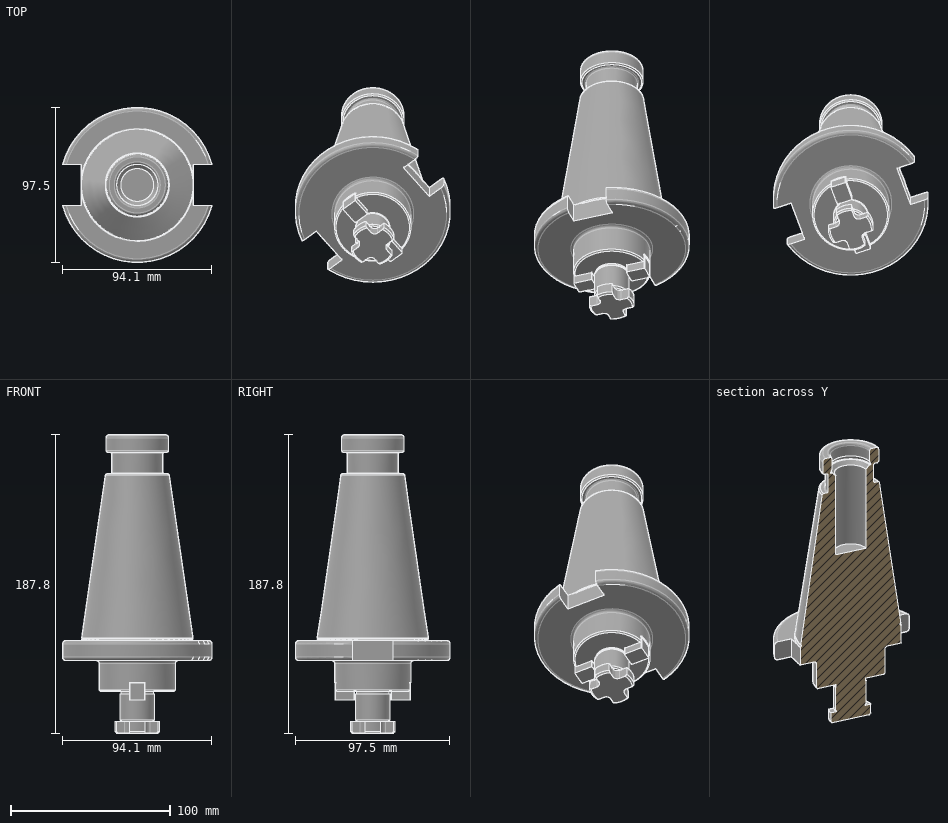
import cadquery as cq
import math

total_height = 187.8
head_top = 7.5
hub_bottom = 26.3
flange_bottom = 45.6
flange_top = 58.4
taper_bottom = 60.0
taper_top = 163.4
knob_bottom = 176.5

pilot_radius = 10.9
hub_radius = 24.0
flange_radius = 97.5 / 2
taper_large_radius = 35.1
neck_radius = 16.2
knob_radius = 19.7

taper_slope = 3.5 / 24

small_chamfer = 1.0
flange_fillet = 1.2
hub_fillet = 0.9
knob_fillet = 1.1
neck_fillet = 0.4
neck_root_fillet = 0.3
pilot_relief_depth = 0.5
pilot_relief_height = 1.5
taper_undercut = 0.5
taper_root_fillet = 0.5

bore_radius = 13.0
bore_rim_fillet = 0.8
bore_relief_depth = 1.0
bore_relief_top = 8.8
bore_relief_bottom = 11.3
drill_radius = 10.3
drill_top_depth = 13.9
drill_depth = 69.5

drive_slot_width = 25.7
drive_slot_floor = 35.3

key_width = 10.0
key_bottom = 20.8
key_top = 32.0
key_inner = 11.5
key_outer = 23.7
key_chamfer = 0.4
key_slot_outer = hub_radius + 1.9

head_radius = 14.0
lobe_width = 10.0
lobe_corner_radius = 3.0
head_chamfer = 1.1


UP = (0, 1.9)
DOWN = (0, -1.9)
OUT = (1.9, 0)
IN = (-1.9, 0)


def round_corner(path, corner, radius, arrive, leave):
    """Run the path to a square corner and turn it there on a quarter-round."""
    middle_offset = radius * (1 - math.sqrt(0.5))
    start = [c - radius * a for c, a in zip(corner, arrive)]
    middle = [c + middle_offset * (b - a) for c, a, b in zip(corner, arrive, leave)]
    end = [c + radius * b for c, b in zip(corner, leave)]
    return path.lineTo(*start).threePointArc(tuple(middle), tuple(end))


def turned_body():
    """Pilot, hub, flange, taper, neck, knob and bore, revolved about Z."""
    relief_radius = pilot_radius - pilot_relief_depth
    relief_bottom = hub_bottom - pilot_relief_height
    path = (
        cq.Workplane("XZ")
        .moveTo(0, head_top)
        .lineTo(pilot_radius - small_chamfer, head_top)
        .lineTo(pilot_radius, head_top + small_chamfer)
        .lineTo(pilot_radius, relief_bottom)
        .lineTo(relief_radius, relief_bottom)
        .lineTo(relief_radius, hub_bottom)
    )

    path = path.lineTo(hub_radius - small_chamfer, hub_bottom)
    path = path.lineTo(hub_radius, hub_bottom + small_chamfer)
    path = round_corner(path, (hub_radius, flange_bottom), hub_fillet, UP, OUT)

    path = round_corner(path, (flange_radius, flange_bottom), flange_fillet, OUT, UP)
    path = round_corner(path, (flange_radius, flange_top), flange_fillet, UP, IN)

    undercut_radius = taper_large_radius - taper_undercut
    chamfer_height = taper_top - small_chamfer
    taper_small_radius = taper_large_radius - (chamfer_height - taper_bottom) * taper_slope
    path = round_corner(path, (undercut_radius, flange_top), taper_root_fillet, IN, UP)
    path = path.lineTo(taper_large_radius, taper_bottom)
    path = path.lineTo(taper_small_radius, chamfer_height)
    path = path.lineTo(taper_small_radius - small_chamfer, taper_top)

    path = round_corner(path, (neck_radius, taper_top), neck_root_fillet, IN, UP)
    path = round_corner(path, (neck_radius, knob_bottom), neck_fillet, UP, OUT)

    path = path.lineTo(knob_radius - small_chamfer, knob_bottom)
    path = path.lineTo(knob_radius, knob_bottom + small_chamfer)
    path = round_corner(path, (knob_radius, total_height), knob_fillet, UP, IN)

    path = round_corner(path, (bore_radius, total_height), bore_rim_fillet, IN, DOWN)
    path = (
        path.lineTo(bore_radius, total_height - bore_relief_top)
        .lineTo(bore_radius + bore_relief_depth, total_height - bore_relief_bottom)
        .lineTo(bore_radius, total_height - bore_relief_bottom)
        .lineTo(drill_radius, total_height - drill_top_depth)
        .lineTo(drill_radius, total_height - drill_depth)
        .lineTo(0, total_height - drill_depth)
        .close()
    )
    return path.revolve(360, (0, 0), (0, 1))


def drive_slot(side):
    """Cutter for one flange slot; side is -1 or +1 along X."""
    length = flange_radius
    height = flange_top - flange_bottom
    return cq.Workplane("XY").box(length, drive_slot_width, height).translate(
        (side * (drive_slot_floor + length / 2), 0, (flange_top + flange_bottom) / 2)
    )


def key_block(side, outer):
    """Block of key width from the key's inner end out to a given radius along Y."""
    return cq.Workplane("XY").box(key_width, outer - key_inner, key_top - key_bottom).translate(
        (0, side * (key_inner + outer) / 2, (key_top + key_bottom) / 2)
    )


def screw_head():
    """Chamfered disc trimmed to four lobes with rounded inner corners."""
    disc = cq.Workplane("XY").circle(head_radius).extrude(head_top).faces("<Z").chamfer(head_chamfer)
    bar_length = 2 * head_radius + lobe_width
    bar = cq.Workplane("XY").rect(bar_length, lobe_width).extrude(head_top)
    cross = bar.union(bar.rotate((0, 0, 0), (0, 0, 1), 90))
    inner_corners = cq.selectors.BoxSelector(
        (-lobe_width, -lobe_width, -head_top), (lobe_width, lobe_width, 2 * head_top)
    )
    cross = cross.edges("|Z").edges(inner_corners).fillet(lobe_corner_radius)
    return disc.intersect(cross)


result = turned_body().union(screw_head())
for side in (-1, 1):
    key = key_block(side, key_outer).edges("|Z or >Z").chamfer(key_chamfer)
    result = result.cut(drive_slot(side))
    result = result.cut(key_block(side, key_slot_outer))
    result = result.union(key)